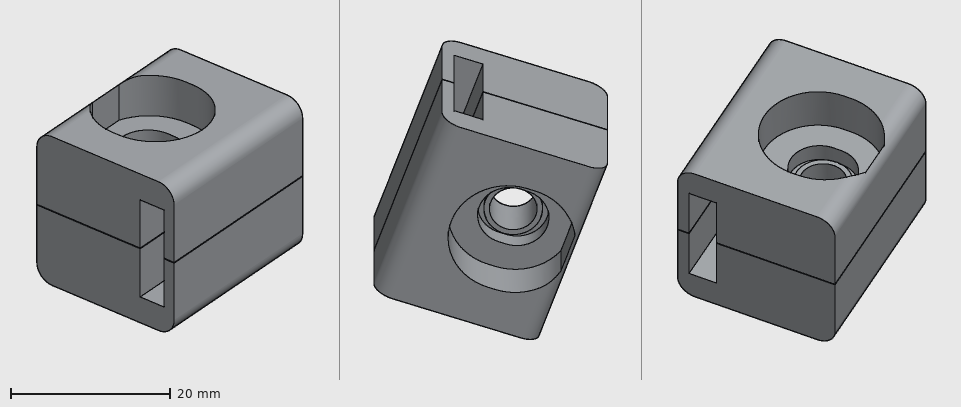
import cadquery as cq

width = 22.0
length = 26.0
height = 22.1
split_gap = 0.1
corner_radius = 2.5
half_height = (height - split_gap) / 2

strap_width = 3.82
strap_height = 14.4
strap_outer_wall = 1.6
strap_x = width / 2 - strap_outer_wall - strap_width / 2

bore_from_left = 8.0
bore_x = -width / 2 + bore_from_left
slide_travel = 1.0
recess_offset = 0.23
recess_x = bore_x + recess_offset
recess_diameter = 14.98
recess_depth = 6.0
recess_side_wall = 0.75
window_diameter = 8.0
window_depth = 2.5
recess_floor_z = height / 2 - recess_depth
flange_top_z = recess_floor_z - window_depth

flange_diameter = 11.95
collar_diameter = 7.38
collar_height = 0.5
sleeve_bore = 5.98


def elongated_cut(center_x, diameter, bottom_z, top_z):
    """Vertical round-ended cutter, longer along X by the slide travel."""
    return (
        cq.Workplane("XY", origin=(center_x, 0, bottom_z))
        .slot2D(diameter + slide_travel, diameter)
        .extrude(top_z - bottom_z)
    )


def make_recess():
    """Large pocket, flattened on the left to leave a thin side wall."""
    pocket = elongated_cut(recess_x, recess_diameter, recess_floor_z, height / 2)
    keep_zone = cq.Workplane("XY").box(width - 2 * recess_side_wall, length, height)
    return pocket.intersect(keep_zone)


def make_upper_shell():
    shell = (
        cq.Workplane("XY", origin=(0, 0, split_gap / 2))
        .box(width, length, half_height, centered=(True, True, False))
        .edges("|Y and >Z")
        .fillet(corner_radius)
    )
    strap_passage = cq.Workplane("XY").box(strap_width, length, strap_height).translate((strap_x, 0, 0))
    flange_seat = cq.Workplane("XY").center(bore_x, 0).circle(flange_diameter / 2).extrude(flange_top_z)
    window = elongated_cut(bore_x, window_diameter, flange_top_z, recess_floor_z)
    return shell.cut(strap_passage).cut(make_recess()).cut(window).cut(flange_seat)


def make_sleeve():
    """Spool-like sleeve: a wide flange with a short collar at each end."""
    collar_top_z = flange_top_z + collar_height
    flange = cq.Workplane("XY").circle(flange_diameter / 2).extrude(flange_top_z, both=True)
    collars = cq.Workplane("XY").circle(collar_diameter / 2).extrude(collar_top_z, both=True)
    bore = cq.Workplane("XY").circle(sleeve_bore / 2).extrude(collar_top_z, both=True)
    return flange.union(collars).cut(bore).translate((bore_x, 0, 0))


upper_shell = make_upper_shell()
lower_shell = upper_shell.mirror("XY")
sleeve = make_sleeve()

bodies = [upper_shell, lower_shell, sleeve]
result = cq.Compound.makeCompound([body.solids().val() for body in bodies])